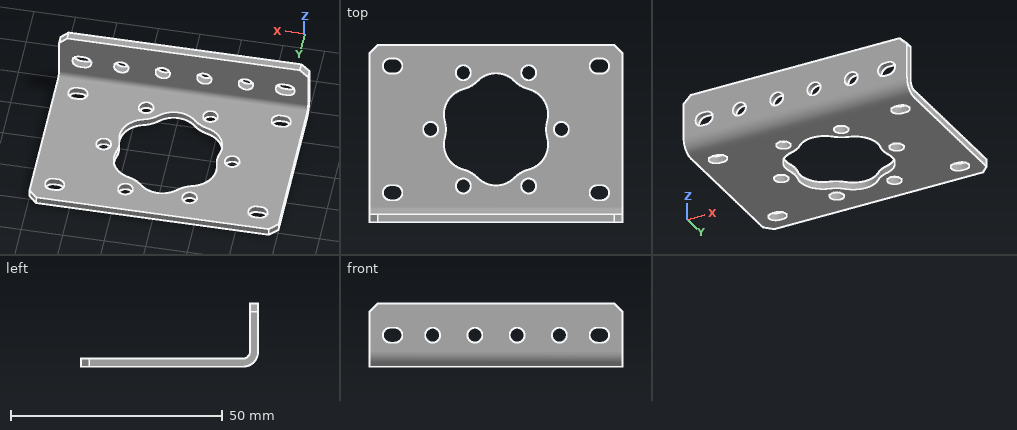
import cadquery as cq
import math

length = 60.0
depth = 42.0
height = 15.0
thickness = 2.0
bend_outer_radius = 3.6
bend_inner_radius = bend_outer_radius - thickness
corner_chamfer = 2.0

hole_diameter = 3.5
slot_length = 4.55
slot_x = 24.5
flange_hole_z = height / 2
flange_hole_pitch = length / 6
flange_hole_count = 4
base_slot_spacing_y = 30.0

opening_y = depth - 20.0
lobe_count = 6
lobe_tip_radius = 13.25
waist_radius = 11.8
waist_arc_radius = 7.2
bolt_circle_radius = 15.5


def polar(radius, angle):
    return radius * math.cos(angle), radius * math.sin(angle)


def make_bent_sheet():
    """L-shaped section with concentric bend arcs, extruded along X."""
    diagonal = math.sqrt(0.5)
    bend = bend_outer_radius
    outer_mid = bend - bend_outer_radius * diagonal
    inner_mid = bend - bend_inner_radius * diagonal
    return (
        cq.Workplane("YZ")
        .moveTo(depth, 0)
        .lineTo(bend, 0)
        .threePointArc((outer_mid, outer_mid), (0, bend))
        .lineTo(0, height)
        .lineTo(thickness, height)
        .lineTo(thickness, bend)
        .threePointArc((inner_mid, inner_mid), (bend, thickness))
        .lineTo(depth, thickness)
        .close()
        .extrude(length / 2, both=True)
    )


def make_lobed_opening():
    """Convex lobes joined tangentially by arcs bulging inwards at the waists."""
    step = 2 * math.pi / lobe_count
    half_step = step / 2
    waist_centre = waist_radius + waist_arc_radius
    reach = lobe_tip_radius + waist_arc_radius
    lobe_centre = (reach**2 - waist_centre**2) / (2 * (reach - waist_centre * math.cos(half_step)))
    lobe_radius = lobe_tip_radius - lobe_centre

    lobe_x, lobe_y = polar(lobe_centre, half_step)
    share = waist_arc_radius / (waist_arc_radius + lobe_radius)
    tangent_x = waist_centre + share * (lobe_x - waist_centre)
    tangent_y = share * lobe_y
    tangent_radius = math.hypot(tangent_x, tangent_y)
    tangent_angle = math.atan2(tangent_y, tangent_x)

    outline = cq.Workplane("XY").moveTo(*polar(tangent_radius, -tangent_angle))
    for index in range(lobe_count):
        waist_angle = index * step
        outline = outline.threePointArc(
            polar(waist_radius, waist_angle),
            polar(tangent_radius, waist_angle + tangent_angle),
        ).threePointArc(
            polar(lobe_tip_radius, waist_angle + half_step),
            polar(tangent_radius, waist_angle + step - tangent_angle),
        )
    return outline.close().extrude(thickness).translate((0, opening_y, 0))


def make_base_holes():
    base = cq.Workplane("XY", origin=(0, opening_y, 0))
    round_holes = (
        base.polarArray(bolt_circle_radius, 0, 360, lobe_count)
        .circle(hole_diameter / 2)
        .extrude(thickness)
    )
    slots = (
        base.rarray(2 * slot_x, base_slot_spacing_y, 2, 2)
        .slot2D(slot_length, hole_diameter)
        .extrude(thickness)
    )
    return round_holes.union(slots)


def make_flange_holes():
    flange = cq.Workplane("XZ", origin=(0, 0, flange_hole_z))
    round_holes = (
        flange.rarray(flange_hole_pitch, 0.6, flange_hole_count, 1)
        .circle(hole_diameter / 2)
        .extrude(-thickness)
    )
    slots = (
        flange.rarray(2 * slot_x, 0.6, 2, 1)
        .slot2D(slot_length, hole_diameter)
        .extrude(-thickness)
    )
    return round_holes.union(slots)


sheet = make_bent_sheet()
sheet = sheet.faces(">Z").edges("|Y").chamfer(corner_chamfer)
sheet = sheet.faces(">Y").edges("|Z").chamfer(corner_chamfer)

result = sheet.cut(make_lobed_opening()).cut(make_base_holes()).cut(make_flange_holes())